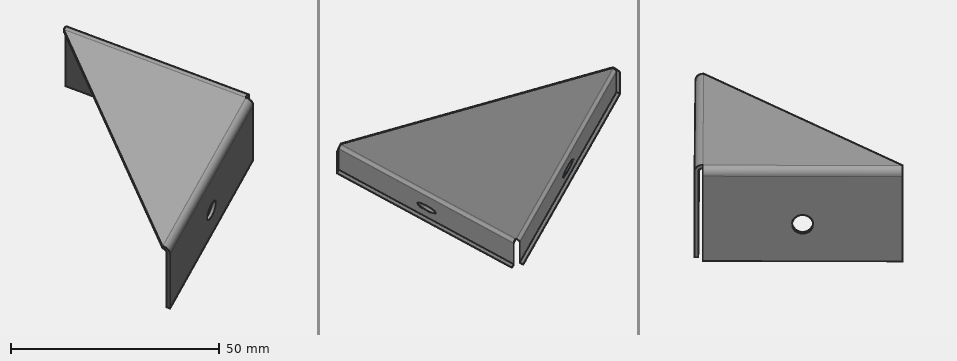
import cadquery as cq
import math

overall_length = 70.8
overall_height = 25.0
sheet_thickness = 1.0
bend_radius = 2.0
hole_diameter = 5.0
hole_height = 10.0

inner_bend_radius = bend_radius - sheet_thickness
half_base = overall_length / 2 - bend_radius / math.sqrt(2)
flange_length = half_base * math.sqrt(2)
bend_top_z = overall_height - bend_radius


def make_plate():
    """Triangular plate with its long side on the X axis."""
    return (
        cq.Workplane("XY")
        .workplane(offset=overall_height - sheet_thickness)
        .polyline([(-half_base, 0), (half_base, 0), (0, half_base)])
        .close()
        .extrude(sheet_thickness)
    )


def make_left_flange():
    """Bend and drilled wall along the sloping left side of the plate."""
    section_plane = cq.Plane(
        origin=(-half_base, 0, 0),
        xDir=(-1, 1, 0),
        normal=(1, 1, 0),
    )
    diagonal = math.sqrt(0.5)
    wall = (
        cq.Workplane(section_plane)
        .moveTo(bend_radius, 0)
        .lineTo(bend_radius, bend_top_z)
        .threePointArc(
            (bend_radius * diagonal, bend_top_z + bend_radius * diagonal),
            (0, overall_height),
        )
        .lineTo(0, overall_height - sheet_thickness)
        .threePointArc(
            (inner_bend_radius * diagonal, bend_top_z + inner_bend_radius * diagonal),
            (inner_bend_radius, bend_top_z),
        )
        .lineTo(inner_bend_radius, 0)
        .close()
        .extrude(flange_length)
    )
    hole_plane = cq.Plane(
        origin=(-half_base / 2, half_base / 2, hole_height),
        xDir=(1, 1, 0),
        normal=(-1, 1, 0),
    )
    hole = cq.Workplane(hole_plane).circle(hole_diameter / 2).extrude(2 * bend_radius)
    return wall.cut(hole)


left_flange = make_left_flange()
right_flange = left_flange.mirror("YZ")
result = make_plate().union(left_flange).union(right_flange)